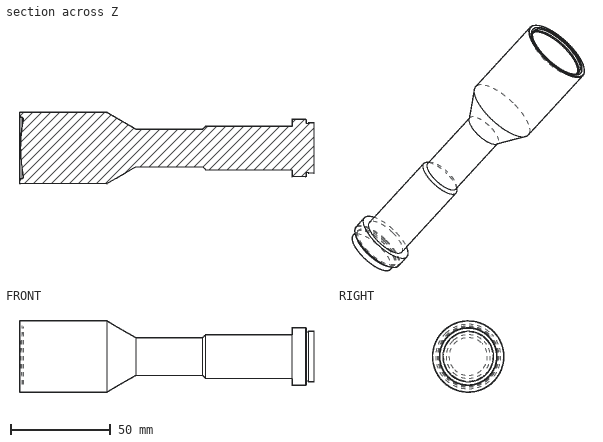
import cadquery as cq

overall_length = 147.9
head_end = 43.9
cone_end = 58.4
neck_end = 92.0
flange_start = 136.8
flange_end = 143.9
groove_end = 145.0

head_diameter = 36.0
neck_diameter = 19.1
barrel_diameter = 22.0
flange_diameter = 29.0
groove_diameter = 24.7
mount_diameter = 25.5
recess_diameter = 32.5
seat_diameter = 30.8
lens_diameter = 29.9

head_chamfer = 0.3
barrel_chamfer = (barrel_diameter - neck_diameter) / 2
flange_chamfer = 0.3

recess_depth = 0.5
seat_depth = 1.5
lens_edge_depth = 2.0
lens_sagitta = 1.5


def revolve_about_x(profile):
    """Revolve a closed XY profile a full turn around the X axis."""
    return profile.close().revolve(360, (0, 0, 0), (1, 0, 0))


def make_body():
    """Solid stepped body: head, cone, neck, barrel, flange and mount."""
    head_radius = head_diameter / 2
    neck_radius = neck_diameter / 2
    barrel_radius = barrel_diameter / 2
    flange_radius = flange_diameter / 2
    groove_radius = groove_diameter / 2
    mount_radius = mount_diameter / 2
    profile = (
        cq.Workplane("XY")
        .lineTo(0, head_radius - head_chamfer)
        .lineTo(head_chamfer, head_radius)
        .lineTo(head_end, head_radius)
        .lineTo(cone_end, neck_radius)
        .lineTo(neck_end, neck_radius)
        .lineTo(neck_end + barrel_chamfer, barrel_radius)
        .lineTo(flange_start, barrel_radius)
        .lineTo(flange_start, flange_radius)
        .lineTo(flange_end - flange_chamfer, flange_radius)
        .lineTo(flange_end, flange_radius - flange_chamfer)
        .lineTo(flange_end, groove_radius)
        .lineTo(groove_end, groove_radius)
        .lineTo(groove_end, mount_radius)
        .lineTo(overall_length, mount_radius)
        .lineTo(overall_length, 0)
    )
    return revolve_about_x(profile)


def make_lens_recess():
    """Stepped recess whose floor is the convex lens face."""
    recess_radius = recess_diameter / 2
    seat_radius = seat_diameter / 2
    lens_radius = lens_diameter / 2
    crown_depth = lens_edge_depth - lens_sagitta
    lens = revolve_about_x(
        cq.Workplane("XY")
        .moveTo(crown_depth, 0)
        .radiusArc((lens_edge_depth, lens_radius), lens_face_radius())
        .lineTo(lens_edge_depth, 0)
    )
    recess = revolve_about_x(
        cq.Workplane("XY")
        .lineTo(0, recess_radius)
        .lineTo(recess_depth, recess_radius)
        .lineTo(recess_depth, seat_radius)
        .lineTo(seat_depth, seat_radius)
        .lineTo(seat_depth, lens_radius)
        .lineTo(lens_edge_depth, lens_radius)
        .lineTo(lens_edge_depth, 0)
    )
    return recess.cut(lens)


def lens_face_radius():
    """Sphere radius of the lens face from its chord and sagitta."""
    half_chord = lens_diameter / 2
    return (half_chord**2 + lens_sagitta**2) / (2 * lens_sagitta)


result = make_body().cut(make_lens_recess())